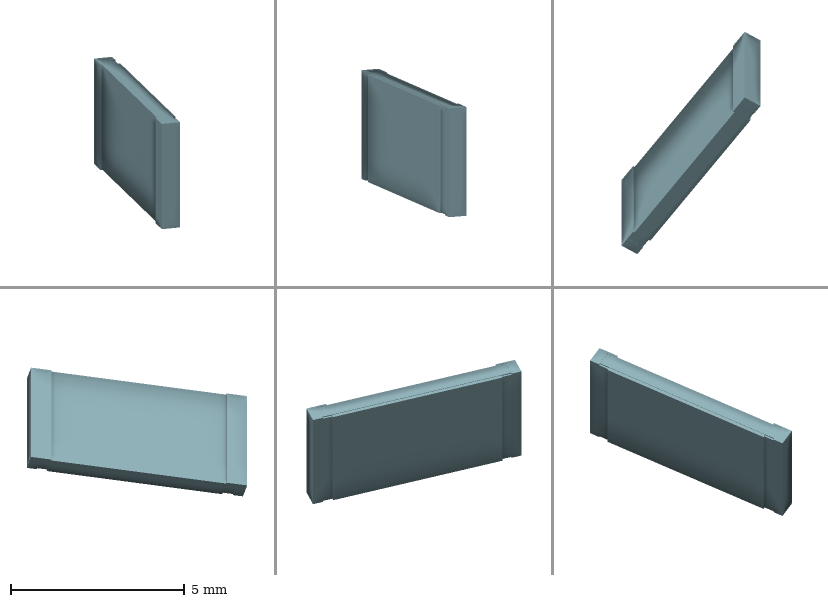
import cadquery as cq

length = 6.4
height = 3.2
depth = 0.6

cap_width = 0.6
cap_depth = 0.55
cap_end_thickness = 0.3
cap_wall = 0.05

back_lip_height = 3.12

substrate_height = 3.19

coating_height = 3.16

substrate_length = length - 2 * cap_end_thickness
substrate_depth = cap_depth - 2 * cap_wall
pocket_length = cap_width - cap_end_thickness
coating_length = length - 2 * cap_width
coating_depth = depth - cap_wall - substrate_depth


def block(size_x, size_y, size_z, center_x, front_y):
    """Box centred on z = 0 whose front face lies at front_y."""
    return (
        cq.Workplane("XY")
        .box(size_x, size_y, size_z, centered=(True, False, True))
        .translate((center_x, front_y, 0))
    )


front = -depth / 2
substrate_front = front + cap_wall
coating_front = substrate_front + substrate_depth

result = block(substrate_length, substrate_depth, substrate_height, 0, substrate_front)
result = result.union(block(coating_length, coating_depth, coating_height, 0, coating_front))

for side in (-1, 1):
    cap_center = side * (length - cap_width) / 2
    pocket_center = side * (substrate_length / 2 - pocket_length / 2)
    cap = block(cap_width, cap_depth, height, cap_center, front)
    pocket = block(pocket_length, substrate_depth + cap_wall, height, pocket_center, substrate_front)
    back_lip = block(pocket_length, cap_wall, back_lip_height, pocket_center, coating_front)
    result = result.union(cap.cut(pocket)).union(back_lip)